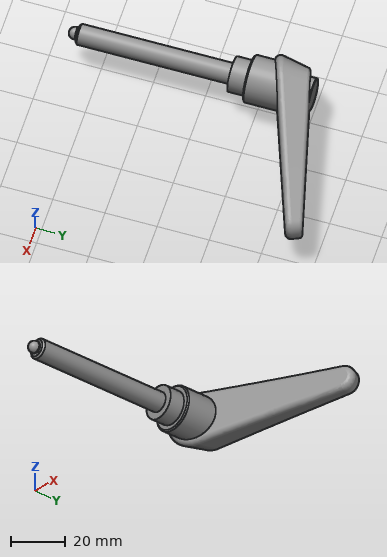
import cadquery as cq
import math


hub_radius = 9.1
hub_edge_chamfer = 0.5
boss_radius = 6.3
boss_top = 24.5
boss_edge_chamfer = 0.2

arm_top_level = 43.2
root_radius = 13.3
root_draft = 0.2
tip_center = 66.4
tip_lean = 0.27
tip_radius = 10.3
tip_draft = 0.15
arm_top_height = 23.1
arm_top_angle = 14.7
arm_bottom_height = 10.2
arm_bottom_angle = 20.2
arm_top_fillet = 1.3
arm_bottom_fillet = 2.2
trim_width = 43.2

collar_radius = 6.8
collar_length = 6.5
shaft_radius = 4.0
shaft_end = -65.9
shaft_chamfer = 0.8
ball_radius = 2.4
screw_end = -69.3
neck_radius = 2.0
neck_length = 0.5


def arm_outline(workplane, height):
    """Two arcs joined by their common tangents, drawn at the given height."""
    root = root_radius - root_draft * height
    tip = tip_radius - tip_draft * height
    center = tip_center - tip_lean * height
    tangent_sin = (root - tip) / center
    tangent_cos = math.sqrt(1 - tangent_sin**2)
    return (
        workplane.moveTo(root * tangent_sin, root * tangent_cos)
        .threePointArc((-root, 0), (root * tangent_sin, -root * tangent_cos))
        .lineTo(center + tip * tangent_sin, -tip * tangent_cos)
        .threePointArc((center + tip, 0), (center + tip * tangent_sin, tip * tangent_cos))
        .close()
    )


def wedge_between_faces():
    """Space between the sloping top and bottom faces of the arm."""
    def height_at(x, height, angle):
        return height + x * math.tan(math.radians(angle))

    left = -2 * root_radius
    right = tip_center + root_radius
    return (
        cq.Workplane("XY")
        .moveTo(left, height_at(left, arm_bottom_height, arm_bottom_angle))
        .lineTo(right, height_at(right, arm_bottom_height, arm_bottom_angle))
        .lineTo(right, height_at(right, arm_top_height, arm_top_angle))
        .lineTo(left, height_at(left, arm_top_height, arm_top_angle))
        .close()
        .extrude(trim_width / 2, both=True)
    )


def make_arm():
    base = arm_outline(cq.Workplane("XZ"), 0)
    block = arm_outline(base.workplane(offset=-arm_top_level), arm_top_level).loft(ruled=True)
    arm = block.intersect(wedge_between_faces())
    top_tilt = math.radians(arm_top_angle)
    bottom_tilt = math.radians(arm_bottom_angle)
    top_normal = cq.Vector(-math.sin(top_tilt), math.cos(top_tilt), 0)
    bottom_normal = cq.Vector(math.sin(bottom_tilt), -math.cos(bottom_tilt), 0)
    arm = arm.faces(cq.DirectionSelector(top_normal)).edges().fillet(arm_top_fillet)
    return arm.faces(cq.DirectionSelector(bottom_normal)).edges().fillet(arm_bottom_fillet)


def make_handle():
    middle = (arm_bottom_height + arm_top_height) / 2
    hub = cq.Workplane("XZ").circle(hub_radius).extrude(-middle)
    hub = hub.faces("<Y").edges().chamfer(hub_edge_chamfer)
    boss = cq.Workplane("XZ").circle(boss_radius).extrude(-boss_top)
    boss = boss.faces(">Y").edges().chamfer(boss_edge_chamfer)
    return make_arm().union(hub).union(boss)


def make_screw():
    """Collar, shaft and ball-ended tip, turned in one piece about the Y axis."""
    ball_center = screw_end + ball_radius
    neck_end = shaft_end - neck_length
    arc_middle = ball_radius * math.sqrt(0.5)
    return (
        cq.Workplane("XY")
        .moveTo(0, 0)
        .lineTo(collar_radius, 0)
        .lineTo(collar_radius, -collar_length)
        .lineTo(shaft_radius, -collar_length)
        .lineTo(shaft_radius, shaft_end + shaft_chamfer)
        .lineTo(shaft_radius - shaft_chamfer, shaft_end)
        .lineTo(neck_radius, shaft_end)
        .lineTo(neck_radius, neck_end)
        .lineTo(ball_radius, neck_end)
        .lineTo(ball_radius, ball_center)
        .threePointArc((arc_middle, ball_center - arc_middle), (0, screw_end))
        .close()
        .revolve(360, (0, 0, 0), (0, 1, 0))
    )


handle = make_handle()
screw = make_screw()
result = cq.Compound.makeCompound([handle.val(), screw.val()])